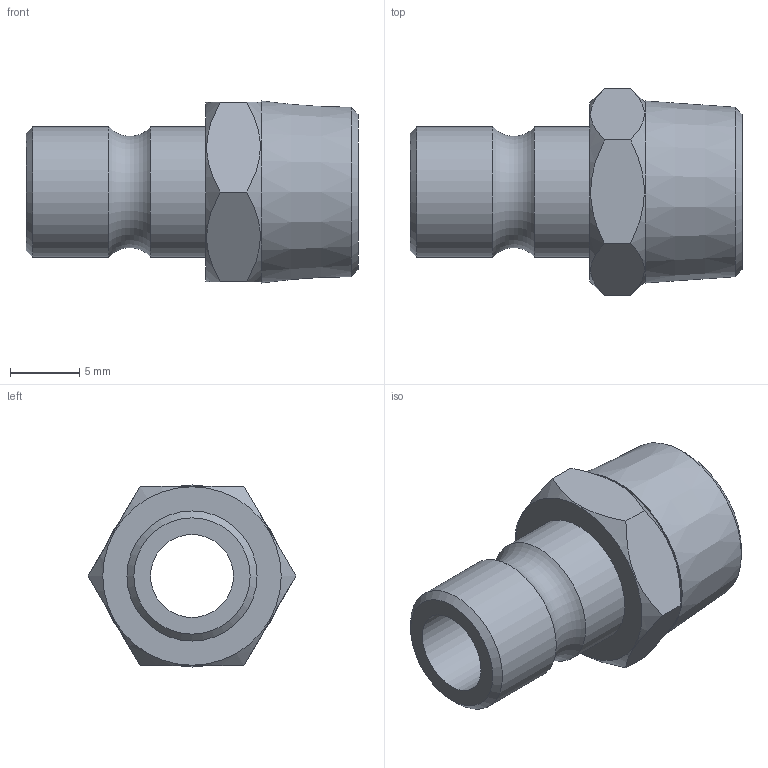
import cadquery as cq
import math

TOTAL_LENGTH = 24.0
HEX_START = 13.0
HEX_LENGTH = 4.0
HEX_END = HEX_START + HEX_LENGTH

PLUG_RADIUS = 9.4 / 2
END_CHAMFER = 0.5
GROOVE_START = 6.0
GROOVE_WIDTH = 3.0
GROOVE_RADIUS = 2.0
GROOVE_DEPTH = GROOVE_RADIUS - math.sqrt(GROOVE_RADIUS**2 - (GROOVE_WIDTH / 2) ** 2)

HEX_ACROSS_FLATS = 13.0
HEX_ACROSS_CORNERS = HEX_ACROSS_FLATS / math.cos(math.radians(30))
HEX_FACE_RADIUS = 6.45

THREAD_RADIUS = 13.157 / 2
THREAD_SLOPE = math.tan(math.radians(4))

BORE_DIAMETER = 6.0


def revolve_about_x(profile):
    return profile.close().revolve(360, (0, 0, 0), (1, 0, 0))


def make_plug():
    groove_end = GROOVE_START + GROOVE_WIDTH
    groove_middle = GROOVE_START + GROOVE_WIDTH / 2
    profile = (
        cq.Workplane("XY")
        .lineTo(0, PLUG_RADIUS - END_CHAMFER)
        .lineTo(END_CHAMFER, PLUG_RADIUS)
        .lineTo(GROOVE_START, PLUG_RADIUS)
        .threePointArc((groove_middle, PLUG_RADIUS - GROOVE_DEPTH), (groove_end, PLUG_RADIUS))
        .lineTo(HEX_START, PLUG_RADIUS)
        .lineTo(HEX_START, 0)
    )
    return revolve_about_x(profile)


def make_hexagon():
    prism = (
        cq.Workplane("YZ", origin=(HEX_START, 0, 0))
        .polygon(6, HEX_ACROSS_CORNERS)
        .extrude(HEX_LENGTH)
    )
    half_length = HEX_LENGTH / 2
    envelope = revolve_about_x(
        cq.Workplane("XY")
        .moveTo(HEX_START, 0)
        .lineTo(HEX_START, HEX_FACE_RADIUS)
        .lineTo(HEX_START + half_length, HEX_FACE_RADIUS + half_length)
        .lineTo(HEX_END, HEX_FACE_RADIUS)
        .lineTo(HEX_END, 0)
    )
    return prism.intersect(envelope)


def make_thread_body():
    chamfer_start = TOTAL_LENGTH - END_CHAMFER
    small_radius = THREAD_RADIUS - THREAD_SLOPE * (chamfer_start - HEX_END)
    profile = (
        cq.Workplane("XY")
        .moveTo(HEX_END, 0)
        .lineTo(HEX_END, THREAD_RADIUS)
        .lineTo(chamfer_start, small_radius)
        .lineTo(TOTAL_LENGTH, small_radius - END_CHAMFER)
        .lineTo(TOTAL_LENGTH, 0)
    )
    return revolve_about_x(profile)


def make_bore():
    return cq.Workplane("YZ").circle(BORE_DIAMETER / 2).extrude(TOTAL_LENGTH)


result = make_plug().union(make_hexagon()).union(make_thread_body()).cut(make_bore())